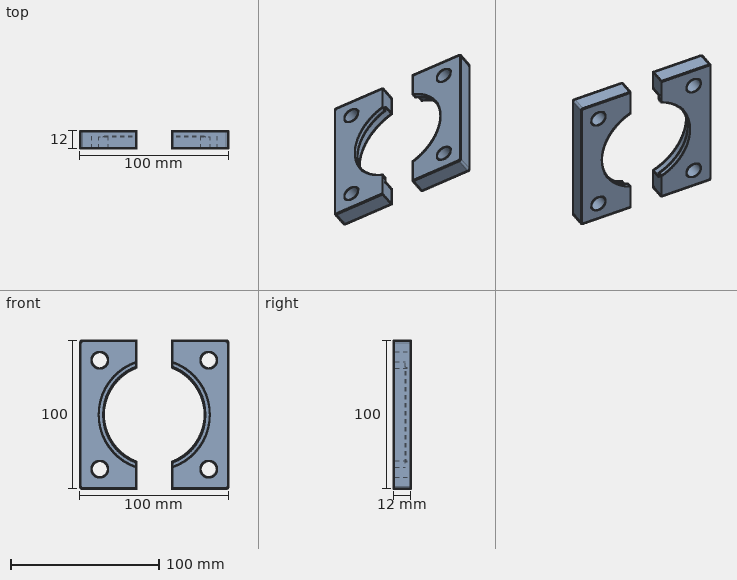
import cadquery as cq

width = 100.0
height = 100.0
thickness = 12.0
gap = 24.0
half_width = (width - gap) / 2

corner_radius = 1.5
edge_chamfer = 0.4

recess_radius = 37.5
lip_radius = 34.0
lip_thickness = 4.1
lip_chamfer = 0.5
recess_depth = thickness - lip_thickness

bolt_hole_diameter = 11.0
bolt_pitch = 73.5

front_y = -thickness / 2


def make_blank(side):
    """Half plate with rounded outer corners and chamfered outer edges; side is -1 or +1 along X."""
    outer_edge = ">X" if side > 0 else "<X"
    split_face = "<X" if side > 0 else ">X"
    blank = cq.Workplane("XY").box(half_width, thickness, height)
    blank = blank.edges("|Y").edges(outer_edge).fillet(corner_radius)
    rim = blank.faces("<Y or >Y").edges().edges("not (" + split_face + ")")
    blank = rim.chamfer(edge_chamfer)
    return blank.translate((side * (gap + half_width) / 2, 0, 0))


def make_bore():
    """Stepped cutter on the Y axis, with a chamfer leading from the recess floor into the lip."""
    floor_y = front_y + recess_depth
    profile = [
        (0, front_y),
        (recess_radius, front_y),
        (recess_radius, floor_y),
        (lip_radius + lip_chamfer, floor_y),
        (lip_radius, floor_y + lip_chamfer),
        (lip_radius, -front_y),
        (0, -front_y),
    ]
    return cq.Workplane("XY").polyline(profile).close().revolve(360, (0, 0, 0), (0, 1, 0))


def make_bolt_cutters():
    """Four through-hole cutters on a square pattern."""
    return (
        cq.Workplane("XZ")
        .rect(bolt_pitch, bolt_pitch, forConstruction=True)
        .vertices()
        .circle(bolt_hole_diameter / 2)
        .extrude(thickness / 2, both=True)
    )


def make_clamp_half(side):
    """One flange half, finished."""
    return make_blank(side).cut(make_bore()).cut(make_bolt_cutters())


clamp_halves = [make_clamp_half(side) for side in (-1, 1)]

result = cq.Compound.makeCompound([half.val() for half in clamp_halves])